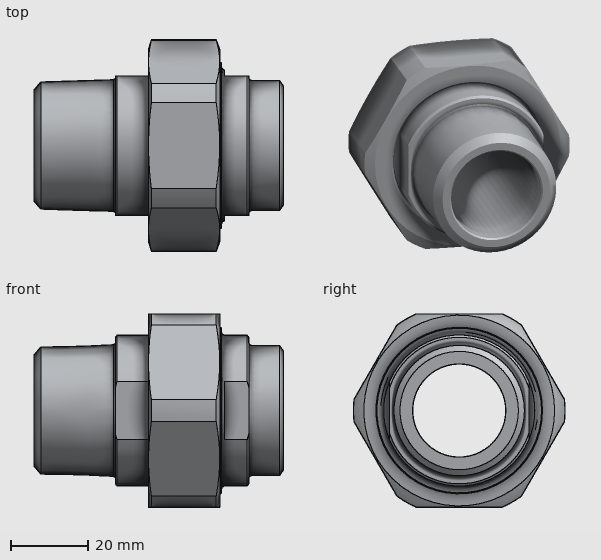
import cadquery as cq
import math

total_length = 64.5
bore_radius = 24.0 / 2
flats_width = 36.0
barrel_radius = 39.0 / 2
barrel_chamfer_length = 0.45
barrel_chamfer_depth = 0.6

bore_chamfer = 0.4
tip_radius = 28.7 / 2
tip_chamfer_length = 1.8
taper_start_radius = 16.45
taper_end_radius = 17.0
taper_end = 20.6
barrel_start = 21.0
relief_radius = 17.35
male_flats_end = 30.6

nut_start = 29.55
nut_end = 48.1
nut_sides = 6
nut_across_flats = 50.0
nut_corner_radius = 54.7 / 2
nut_front_face_radius = 24.8
nut_front_chamfer = 0.805
nut_back_face_radius = 24.65
nut_back_chamfer = 1.0
lip_end = 33.55
lip_bore_radius = 39.5 / 2
lip_chamfer = 0.6

joint_face = 36.75
collar_radius = 43.0 / 2

collar_end = 48.5
collar_chamfer = 0.25
collar_fillet = 0.8
tail_barrel_start = collar_end + collar_fillet
tail_barrel_end = 55.55
spigot_radius = 33.7 / 2
spigot_fillet = 0.8
spigot_chamfer_length = 1.0
spigot_chamfer_depth = 1.55

ARC_45 = math.sqrt(0.5)


def revolve_about_x(profile):
    """Turn a closed (x, radius) profile about the X axis."""
    return profile.close().revolve(360, (0, 0, 0), (1, 0, 0))


def cut_flats(body, start, end):
    """Cut two opposite flats, facing -Y and +Y, between two X positions."""
    length = end - start
    depth = barrel_radius
    for side in (-1, 1):
        block = cq.Workplane("XY").box(length, depth, 4 * barrel_radius).translate(
            ((start + end) / 2, side * (flats_width + depth) / 2, 0)
        )
        body = body.cut(block)
    return body


def make_male_end():
    """Tapered end with a barrel and the flange held by the nut lip."""
    profile = (
        cq.Workplane("XY")
        .moveTo(bore_chamfer, bore_radius)
        .lineTo(0, bore_radius + bore_chamfer)
        .lineTo(0, tip_radius)
        .lineTo(tip_chamfer_length, taper_start_radius)
        .lineTo(taper_end, taper_end_radius)
        .lineTo(barrel_start, relief_radius)
        .lineTo(barrel_start, barrel_radius - barrel_chamfer_depth)
        .lineTo(barrel_start + barrel_chamfer_length, barrel_radius)
        .lineTo(lip_end, barrel_radius)
        .lineTo(lip_end, collar_radius)
        .lineTo(joint_face, collar_radius)
        .lineTo(joint_face, bore_radius)
    )
    return cut_flats(revolve_about_x(profile), barrel_start, male_flats_end)


def make_nut():
    """Hexagon with turned corners, chamfered faces and a stepped bore."""
    sharp_corner_radius = nut_across_flats / 2 / math.cos(math.pi / nut_sides)
    corner_angles = [2 * math.pi * i / nut_sides for i in range(nut_sides)]
    corners = [
        (sharp_corner_radius * math.cos(angle), sharp_corner_radius * math.sin(angle))
        for angle in corner_angles
    ]
    hexagon = (
        cq.Workplane("YZ", origin=(nut_start, 0, 0))
        .polyline(corners)
        .close()
        .extrude(nut_end - nut_start)
    )
    turned_profile = (
        cq.Workplane("XY")
        .moveTo(nut_start, lip_bore_radius + lip_chamfer)
        .lineTo(nut_start, nut_front_face_radius)
        .lineTo(nut_start + nut_front_chamfer, nut_corner_radius)
        .lineTo(nut_end - nut_back_chamfer, nut_corner_radius)
        .lineTo(nut_end, nut_back_face_radius)
        .lineTo(nut_end, collar_radius)
        .lineTo(lip_end, collar_radius)
        .lineTo(lip_end, lip_bore_radius)
        .lineTo(nut_start + lip_chamfer, lip_bore_radius)
    )
    return hexagon.intersect(revolve_about_x(turned_profile))


def make_tail_end():
    """Collar inside the nut, barrel with flats, and plain spigot."""
    collar_arc_center = (tail_barrel_start, barrel_radius + collar_fillet)
    spigot_arc_center = (tail_barrel_end + spigot_fillet, spigot_radius + spigot_fillet)
    profile = (
        cq.Workplane("XY")
        .moveTo(joint_face, bore_radius)
        .lineTo(joint_face, collar_radius)
        .lineTo(collar_end - collar_chamfer, collar_radius)
        .lineTo(collar_end, collar_radius - collar_chamfer)
        .lineTo(collar_end, barrel_radius + collar_fillet)
        .threePointArc(
            (collar_arc_center[0] - collar_fillet * ARC_45, collar_arc_center[1] - collar_fillet * ARC_45),
            (tail_barrel_start, barrel_radius),
        )
        .lineTo(tail_barrel_end - barrel_chamfer_length, barrel_radius)
        .lineTo(tail_barrel_end, barrel_radius - barrel_chamfer_depth)
        .lineTo(tail_barrel_end, spigot_radius + spigot_fillet)
        .threePointArc(
            (spigot_arc_center[0] - spigot_fillet * ARC_45, spigot_arc_center[1] - spigot_fillet * ARC_45),
            (tail_barrel_end + spigot_fillet, spigot_radius),
        )
        .lineTo(total_length - spigot_chamfer_length, spigot_radius)
        .lineTo(total_length, spigot_radius - spigot_chamfer_depth)
        .lineTo(total_length, bore_radius)
    )
    return cut_flats(revolve_about_x(profile), tail_barrel_start, tail_barrel_end)


male_end = make_male_end()
nut = make_nut()
tail_end = make_tail_end()

result = cq.Compound.makeCompound([male_end.solids().val(), nut.solids().val(), tail_end.solids().val()])